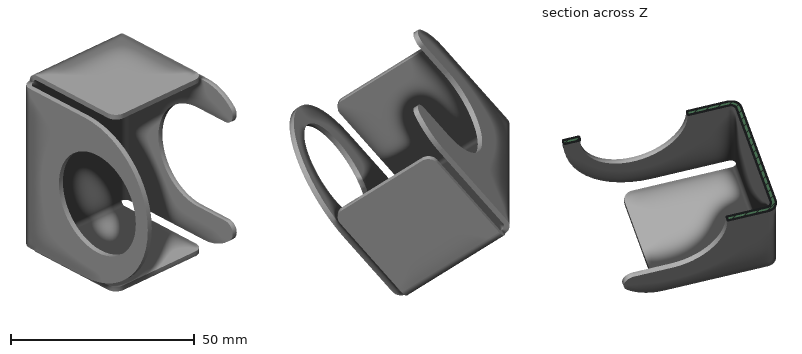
import cadquery as cq
import math

thickness = 1.5
web_width = 33.04
web_height = 50.0
side_bend_radius = 3.0
end_bend_radius = 2.72

end_flange_reach = 34.0
end_flange_corner_radius = 3.0

ring_reach = 50.0
ring_hole_diameter = 30.5
hole_center_x = 30.0

fork_straight_end_x = 32.5
fork_shoulder_radius = 15.0
fork_tip_radius = 3.0
fork_slot_width = 31.0

half_width = web_width / 2
half_height = web_height / 2


def bend_strip(outer_radius, length):
    """Quarter-round bend along +Z, from a web edge at the origin round to a flange toward +X."""
    inner_radius = outer_radius - thickness
    diagonal = math.sqrt(0.5)
    outer_middle = (outer_radius * (1 - diagonal), outer_radius * diagonal)
    inner_middle = (outer_radius - inner_radius * diagonal, inner_radius * diagonal)
    return (
        cq.Workplane("XY")
        .threePointArc(outer_middle, (outer_radius, outer_radius))
        .lineTo(outer_radius, inner_radius)
        .threePointArc(inner_middle, (thickness, 0))
        .close()
        .extrude(length)
    )


def make_web():
    return cq.Workplane("XY").box(thickness, web_width, web_height, centered=(False, True, True))


def make_side_bend():
    """Bend along the +Y edge of the web."""
    return bend_strip(side_bend_radius, web_height).translate((0, half_width, -half_height))


def make_top_flange():
    """Flat flange with two rounded free corners, joined to the web by its bend."""
    bend = (
        bend_strip(end_bend_radius, web_width)
        .rotate((0, 0, 0), (1, 0, 0), 90)
        .translate((0, half_width, half_height))
    )
    plate = (
        cq.Workplane("XY")
        .box(end_flange_reach - end_bend_radius, web_width, thickness, centered=(False, True, False))
        .edges("|Z and >X")
        .fillet(end_flange_corner_radius)
        .translate((end_bend_radius, 0, half_height + end_bend_radius - thickness))
    )
    return bend.union(plate)


def side_plane(outer_y):
    """XZ sketch plane at outer_y; a positive extrusion runs toward -Y."""
    return cq.Workplane("XZ", origin=(0, outer_y, 0))


def make_ring_flange():
    """Plate with a semicircular end and a round hole."""
    inner_y = -half_width - side_bend_radius + thickness
    arc_start_x = ring_reach - half_height
    plate = (
        side_plane(inner_y)
        .moveTo(side_bend_radius, -half_height)
        .lineTo(arc_start_x, -half_height)
        .threePointArc((ring_reach, 0), (arc_start_x, half_height))
        .lineTo(side_bend_radius, half_height)
        .close()
        .extrude(thickness)
    )
    hole = side_plane(inner_y).center(hole_center_x, 0).circle(ring_hole_diameter / 2).extrude(thickness)
    return plate.cut(hole)


def make_fork_flange():
    """Plate with a round-bottomed slot open toward +X, leaving two prongs with rounded tips."""
    slot_half = fork_slot_width / 2
    shoulder_z = half_height - fork_shoulder_radius

    tip_z = slot_half + fork_tip_radius
    tip_angle = math.asin((tip_z - shoulder_z) / (fork_shoulder_radius - fork_tip_radius))
    tip_x = fork_straight_end_x + (fork_shoulder_radius - fork_tip_radius) * math.cos(tip_angle)

    def on_shoulder(angle):
        return (
            fork_straight_end_x + fork_shoulder_radius * math.cos(angle),
            shoulder_z + fork_shoulder_radius * math.sin(angle),
        )

    def mirrored(point):
        return (point[0], -point[1])

    shoulder_start = (fork_straight_end_x, half_height)
    shoulder_middle = on_shoulder((tip_angle + math.pi / 2) / 2)
    shoulder_end = on_shoulder(tip_angle)
    tip_middle = (tip_x + fork_tip_radius, tip_z)
    tip_end = (tip_x, slot_half)
    slot_start = (hole_center_x, slot_half)

    return (
        side_plane(half_width + side_bend_radius)
        .moveTo(side_bend_radius, half_height)
        .lineTo(*shoulder_start)
        .threePointArc(shoulder_middle, shoulder_end)
        .threePointArc(tip_middle, tip_end)
        .lineTo(*slot_start)
        .threePointArc((hole_center_x - slot_half, 0), mirrored(slot_start))
        .lineTo(*mirrored(tip_end))
        .threePointArc(mirrored(tip_middle), mirrored(shoulder_end))
        .threePointArc(mirrored(shoulder_middle), mirrored(shoulder_start))
        .lineTo(side_bend_radius, -half_height)
        .close()
        .extrude(thickness)
    )


side_bend = make_side_bend()
top_flange = make_top_flange()

result = (
    make_web()
    .union(side_bend)
    .union(side_bend.mirror("XZ"))
    .union(top_flange)
    .union(top_flange.mirror("XY"))
    .union(make_ring_flange())
    .union(make_fork_flange())
)